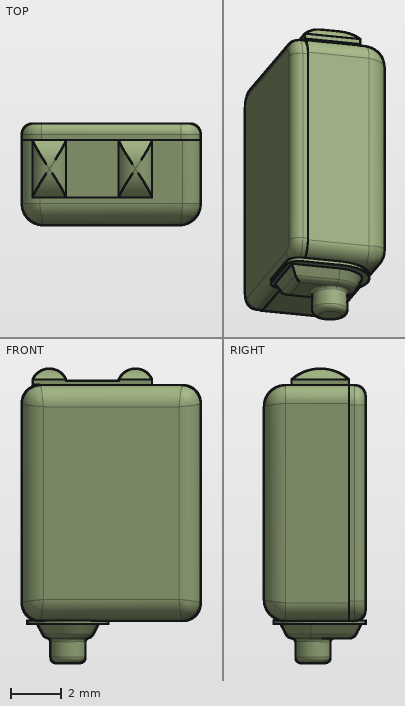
import cadquery as cq

BLOCK_WIDTH = 7.14
BLOCK_DEPTH = 4.06
BLOCK_HEIGHT = 9.4
COVER_DEPTH = 0.66
SHELL_DEPTH = BLOCK_DEPTH - COVER_DEPTH
FRONT_Y = -BLOCK_DEPTH / 2
BACK_Y = BLOCK_DEPTH / 2
SEAM_Y = BACK_Y - COVER_DEPTH

SHELL_CORNER_RADIUS = 0.73
SHELL_FRONT_RADIUS = 0.87
COVER_CORNER_RADIUS = 0.8
COVER_BACK_RADIUS = 0.45

BOARD_LEFT_X = -3.13
BOARD_WIDTH = 4.77
BOARD_DEPTH = 2.3
BOARD_THICKNESS = 0.18
BOARD_TOP_Z = BLOCK_HEIGHT + BOARD_THICKNESS
BOARD_CENTER_X = BOARD_LEFT_X + BOARD_WIDTH / 2
BOARD_CENTER_Y = SEAM_Y - BOARD_DEPTH / 2

PAD_WIDTH = 1.34
PAD_RIM = 0.04
PAD_DOME_HEIGHT = 0.45
PAD_OFFSET_X = (BOARD_WIDTH - PAD_WIDTH) / 2

OUTLET_X = -1.73
FLANGE_RADIUS = 1.62
FLANGE_ARC_Y = -0.02
FLANGE_THICKNESS = 0.15
FLANGE_RECESS = 0.04
FLANGE_BOTTOM_Z = FLANGE_RECESS - FLANGE_THICKNESS
FLANGE_CORNER_RADIUS = 0.5
CUP_RADIUS = 1.22
CUP_ARC_Y = -0.14
CUP_BACK_Y = 1.85
CUP_HEIGHT = 0.58
CUP_BOTTOM_Z = FLANGE_BOTTOM_Z - CUP_HEIGHT
CUP_TAPER = 27
CUP_EDGE_RADIUS = 0.33
NOZZLE_RADIUS = 0.7
NOZZLE_Y = -0.07
NOZZLE_LENGTH = 0.99
NOZZLE_ROOT_RADIUS = 0.13
NOZZLE_TIP_RADIUS = 0.25


def block_slab(y_min, depth):
    """Full-section slab of the block that starts at y_min."""
    slab = cq.Workplane("XY").box(BLOCK_WIDTH, depth, BLOCK_HEIGHT, centered=(True, False, False))
    return slab.translate((0, y_min, 0))


def make_shell():
    """Front part of the block, rounded at its corners and around its front face."""
    shell = block_slab(FRONT_Y, SHELL_DEPTH).edges("|Y").fillet(SHELL_CORNER_RADIUS)
    return shell.faces("<Y").edges().fillet(SHELL_FRONT_RADIUS)


def make_cover():
    """Back part of the block, rounded at its corners and around its back face."""
    cover = block_slab(SEAM_Y, COVER_DEPTH).edges("|Y").fillet(COVER_CORNER_RADIUS)
    return cover.faces(">Y").edges().fillet(COVER_BACK_RADIUS)


def make_board():
    """Flat terminal board that carries the pads."""
    board = cq.Workplane("XY").box(BOARD_WIDTH, BOARD_DEPTH, BOARD_THICKNESS, centered=(True, True, False))
    return board.translate((BOARD_CENTER_X, BOARD_CENTER_Y, BLOCK_HEIGHT))


def arch_outline(top_z, radius, arc_y, back_y):
    """Half circle towards the front, closed by straight sides and a straight back."""
    left_x = OUTLET_X - radius
    right_x = OUTLET_X + radius
    return (
        cq.Workplane("XY", origin=(0, 0, top_z))
        .moveTo(left_x, back_y)
        .lineTo(left_x, arc_y)
        .threePointArc((OUTLET_X, arc_y - radius), (right_x, arc_y))
        .lineTo(right_x, back_y)
        .close()
    )


def make_outlet():
    """Flange, tapered cup and nozzle, stacked downwards from the underside of the block."""
    flange = arch_outline(FLANGE_RECESS, FLANGE_RADIUS, FLANGE_ARC_Y, BACK_Y).extrude(-FLANGE_THICKNESS)
    flange = flange.edges("|Z and >Y").fillet(FLANGE_CORNER_RADIUS)
    cup = arch_outline(FLANGE_BOTTOM_Z, CUP_RADIUS, CUP_ARC_Y, CUP_BACK_Y).extrude(-CUP_HEIGHT, taper=CUP_TAPER)
    cup = cup.faces("<Z").edges().fillet(CUP_EDGE_RADIUS)
    nozzle = (
        cq.Workplane("XY", origin=(OUTLET_X, NOZZLE_Y, CUP_BOTTOM_Z))
        .circle(NOZZLE_RADIUS)
        .extrude(-NOZZLE_LENGTH)
        .faces("<Z")
        .edges()
        .fillet(NOZZLE_TIP_RADIUS)
    )
    root = cq.selectors.NearestToPointSelector((OUTLET_X, NOZZLE_Y, CUP_BOTTOM_Z))
    cup_and_nozzle = cup.union(nozzle).edges(root).fillet(NOZZLE_ROOT_RADIUS)
    return flange.union(cup_and_nozzle)


def vault(plane, span, length):
    """Barrel vault over a low rim; span runs along the plane's local X, centred on the origin."""
    half_span = span / 2
    return (
        cq.Workplane(plane)
        .moveTo(-half_span, 0)
        .lineTo(half_span, 0)
        .lineTo(half_span, PAD_RIM)
        .threePointArc((0, PAD_RIM + PAD_DOME_HEIGHT), (-half_span, PAD_RIM))
        .close()
        .extrude(length / 2, both=True)
    )


def make_pad(center_x):
    """Solder pad: the common part of two crossing vaults, standing on the board."""
    across = vault("XZ", PAD_WIDTH, BOARD_DEPTH)
    along = vault("YZ", BOARD_DEPTH, PAD_WIDTH)
    return across.intersect(along).translate((center_x, BOARD_CENTER_Y, BOARD_TOP_Z))


outlet = make_outlet()

shell = make_shell().union(make_board())
for side in (-1, 1):
    shell = shell.union(make_pad(BOARD_CENTER_X + side * PAD_OFFSET_X))
shell = shell.cut(outlet)

cover = make_cover().cut(outlet)

result = cq.Compound.makeCompound([shell.val(), cover.val(), outlet.val()])